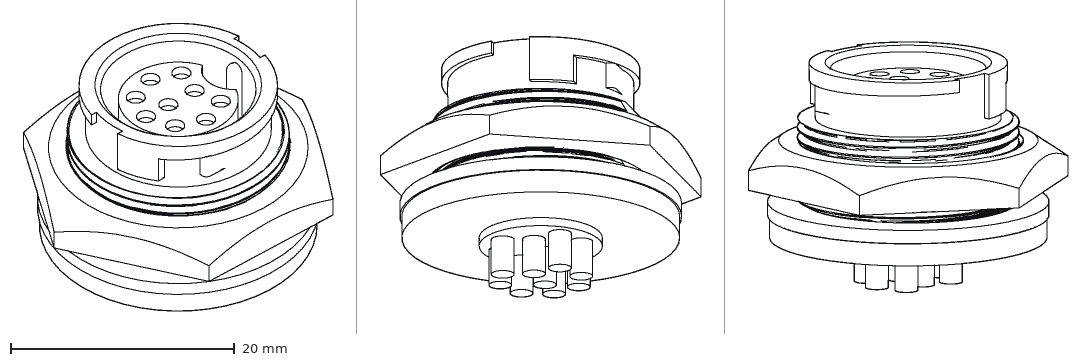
import cadquery as cq
import math

INSERT_BOTTOM = 3.28
FLANGE_BOTTOM = 4.05
FLANGE_STEP = 6.1
FLANGE_TOP = 7.33
NUT_BOTTOM = 9.0
NUT_TOP = 12.9
THREAD_TOP = 14.95
LOCK_BOTTOM = 15.95
BUMP_BOTTOM = 16.22
KEY_TOP = 18.15
INSERT_TOP = 18.4
RIM_TOP = 20.03

FLANGE_RADIUS = 12.6
FLANGE_LOWER_RADIUS = 12.45
COLLAR_RADIUS = 8.33
CUP_RADIUS = 6.95
CUP_CHAMFER = 0.5

PITCH = 0.92
THREAD_RADIUS = 9.95
THREAD_ROOT_RADIUS = 9.35
THREAD_FLAT_X = -8.97
CREST_WIDTH = PITCH / 8
FLANK_SLOPE = math.tan(math.radians(30))
FLANK_STEPS = 12
THREAD_CREST_Z = 14.23

NUT_WIDTH = 25.4
NUT_CORNER_RADIUS = NUT_WIDTH / math.sqrt(3)
NUT_FACE_RADIUS = 11.61
NUT_CHAMFER_DROP = 2.1
NUT_BORE_RADIUS = 9.83
NUT_ROOT_RADIUS = 10.32
NUT_THREAD_SHIFT = 0.15

RIM_RADIUS = 8.9
ENTRY_HALF_WIDTH = 1.8
LOCK_FAR_X = 5.43
RAMP_LOW_Z = 18.45
RAMP_HIGH_Z = 18.9
LOCK_FAR_Y = math.sqrt(RIM_RADIUS**2 - LOCK_FAR_X**2)
ENTRY_Y = math.sqrt(RIM_RADIUS**2 - ENTRY_HALF_WIDTH**2)
RAMP_SLOPE = (RAMP_HIGH_Z - RAMP_LOW_Z) / (LOCK_FAR_Y + ENTRY_Y)

BUMP_FACE_X = 8.18
BUMP_START_Y = 1.38
BUMP_END_Y = 3.8
BUMP_ROUND = 0.6

INSERT_RADIUS = 5.37
INSERT_BASE_RADIUS = 5.5
SCALLOP_RADIUS = 2.82
SCALLOP_Y = 6.48
KEY_RADIUS = 0.75
KEY_Y = 6.7
SOCKET_RADIUS = 0.85
SOCKET_DEPTH = 0.8
PIN_RADIUS = 1.03
CONTACT_CIRCLE_RADIUS = 3.8
CONTACT_STEP_DEGREES = 45
TOP_GAP_DEGREES = 90
INNER_CONTACT_YS = [1.95, -1.17]

ring_angles = [
    math.radians(TOP_GAP_DEGREES + CONTACT_STEP_DEGREES * step)
    for step in range(1, 360 // CONTACT_STEP_DEGREES)
]
contact_points = [
    (CONTACT_CIRCLE_RADIUS * math.cos(angle), CONTACT_CIRCLE_RADIUS * math.sin(angle))
    for angle in ring_angles
]
contact_points += [(0, y) for y in INNER_CONTACT_YS]


def cylinder(radius, bottom, top):
    return cq.Workplane("XY").workplane(offset=bottom).circle(radius).extrude(top - bottom)


def box(x_range, y_range, z_range):
    size = [high - low for low, high in (x_range, y_range, z_range)]
    return cq.Workplane("XY").box(*size, centered=False).translate((x_range[0], y_range[0], z_range[0]))


def both_sides(shape):
    """The shape and its copy turned half way round the axis."""
    return [shape.rotate((0, 0, 0), (0, 0, 1), angle) for angle in (0, 180)]


def threaded_rod(root_radius, crest_radius, bottom, top, crest_z):
    """A right-hand threaded rod: its cross-section twisted once per pitch, a crest at crest_z on +X."""
    crest_angle = math.pi * CREST_WIDTH / PITCH
    flank_angle = 2 * math.pi * (crest_radius - root_radius) * FLANK_SLOPE / PITCH

    def flank_point(share, side):
        radius = crest_radius - share * (crest_radius - root_radius)
        angle = side * (crest_angle + share * flank_angle)
        return (radius * math.cos(angle), radius * math.sin(angle))

    falling = [flank_point(step / FLANK_STEPS, 1) for step in range(FLANK_STEPS + 1)]
    rising = [flank_point(1 - step / FLANK_STEPS, -1) for step in range(FLANK_STEPS + 1)]
    section = (
        cq.Workplane("XY")
        .moveTo(*falling[0])
        .spline(falling[1:], includeCurrent=True)
        .threePointArc((-root_radius, 0), rising[0])
        .spline(rising[1:], includeCurrent=True)
        .threePointArc((crest_radius, 0), falling[0])
        .close()
    )
    rod = section.twistExtrude(top - bottom, 360 * (top - bottom) / PITCH)
    start_angle = 360 * (bottom - crest_z) / PITCH
    return rod.rotate((0, 0, 0), (0, 0, 1), start_angle).translate((0, 0, bottom))


def threaded_barrel():
    barrel = threaded_rod(THREAD_ROOT_RADIUS, THREAD_RADIUS, FLANGE_TOP, THREAD_TOP, THREAD_CREST_Z)
    flat = box(
        (-2 * THREAD_RADIUS, THREAD_FLAT_X),
        (-2 * THREAD_RADIUS, 2 * THREAD_RADIUS),
        (FLANGE_TOP, THREAD_TOP),
    )
    return barrel.cut(flat)


def bayonet_rim():
    rim = cylinder(RIM_RADIUS, LOCK_BOTTOM, RIM_TOP).cut(cylinder(CUP_RADIUS, LOCK_BOTTOM, RIM_TOP))
    reach = 2 * RIM_RADIUS
    under_ramp = (
        cq.Workplane("YZ")
        .polyline([
            (-reach, LOCK_BOTTOM),
            (reach, LOCK_BOTTOM),
            (reach, RAMP_LOW_Z - (reach - LOCK_FAR_Y) * RAMP_SLOPE),
            (-reach, RAMP_LOW_Z + (reach + LOCK_FAR_Y) * RAMP_SLOPE),
        ])
        .close()
        .extrude(-reach)
    )
    under_ramp = under_ramp.cut(box((-LOCK_FAR_X, 0), (0, reach), (LOCK_BOTTOM, RIM_TOP)))
    for cutter in both_sides(under_ramp):
        rim = rim.cut(cutter)
    entry = box((-ENTRY_HALF_WIDTH, ENTRY_HALF_WIDTH), (-reach, reach), (LOCK_BOTTOM, RIM_TOP))
    return rim.cut(entry)


def detent_bump():
    """Flat-faced bump on the -X side, rounded at its +Y end and reaching up to the ramp."""
    return (
        cq.Workplane("XY")
        .workplane(offset=BUMP_BOTTOM)
        .moveTo(-CUP_RADIUS, BUMP_START_Y)
        .lineTo(-BUMP_FACE_X, BUMP_START_Y)
        .lineTo(-BUMP_FACE_X, BUMP_END_Y - BUMP_ROUND)
        .radiusArc((-BUMP_FACE_X + BUMP_ROUND, BUMP_END_Y), BUMP_ROUND)
        .lineTo(-CUP_RADIUS, BUMP_END_Y)
        .close()
        .extrude(RAMP_HIGH_Z - BUMP_BOTTOM)
    )


def cup():
    """The round opening of the shell with its chamfered mouth."""
    opening = cylinder(CUP_RADIUS, FLANGE_TOP, RIM_TOP)
    mouth = cq.Workplane(
        obj=cq.Solid.makeCone(
            CUP_RADIUS,
            CUP_RADIUS + CUP_CHAMFER,
            CUP_CHAMFER,
            cq.Vector(0, 0, RIM_TOP - CUP_CHAMFER),
        )
    )
    return opening.union(mouth)


def polarizing_key():
    """Round-topped post standing against the +Y side of the cup wall."""
    post = cylinder(KEY_RADIUS, FLANGE_TOP, KEY_TOP)
    ball = cq.Workplane("XY").sphere(KEY_RADIUS).translate((0, 0, KEY_TOP))
    return post.union(ball).translate((0, KEY_Y, 0))


def contact_insert():
    insert = cylinder(INSERT_RADIUS, FLANGE_TOP, INSERT_TOP)
    insert = insert.cut(cylinder(SCALLOP_RADIUS, FLANGE_TOP, INSERT_TOP).translate((0, SCALLOP_Y, 0)))
    sockets = (
        cq.Workplane("XY")
        .workplane(offset=INSERT_TOP - SOCKET_DEPTH)
        .pushPoints(contact_points)
        .circle(SOCKET_RADIUS)
        .extrude(SOCKET_DEPTH)
    )
    return insert.cut(sockets)


def solder_pins():
    return cq.Workplane("XY").pushPoints(contact_points).circle(PIN_RADIUS).extrude(INSERT_BOTTOM)


def connector_body():
    body = cylinder(FLANGE_LOWER_RADIUS, FLANGE_BOTTOM, FLANGE_STEP)
    body = body.union(cylinder(FLANGE_RADIUS, FLANGE_STEP, FLANGE_TOP))
    body = body.union(cylinder(INSERT_BASE_RADIUS, INSERT_BOTTOM, FLANGE_BOTTOM))
    body = body.union(threaded_barrel())
    body = body.union(cylinder(COLLAR_RADIUS, THREAD_TOP, RIM_TOP))
    body = body.union(bayonet_rim())
    for bump in both_sides(detent_bump()):
        body = body.union(bump)
    body = body.cut(cup())
    body = body.union(polarizing_key())
    body = body.union(contact_insert())
    return body.union(solder_pins())


def hex_nut():
    nut = (
        cq.Workplane("XY")
        .workplane(offset=NUT_BOTTOM)
        .polygon(6, 2 * NUT_CORNER_RADIUS)
        .extrude(NUT_TOP - NUT_BOTTOM)
        .rotate((0, 0, 0), (0, 0, 1), 30)
    )
    bevelled_envelope = (
        cq.Workplane("XZ")
        .polyline([
            (0, NUT_BOTTOM),
            (NUT_CORNER_RADIUS, NUT_BOTTOM),
            (NUT_CORNER_RADIUS, NUT_TOP - NUT_CHAMFER_DROP),
            (NUT_FACE_RADIUS, NUT_TOP),
            (0, NUT_TOP),
        ])
        .close()
        .revolve(360, (0, 0, 0), (0, 1, 0))
    )
    nut = nut.intersect(bevelled_envelope)
    groove_z = THREAD_CREST_Z + NUT_THREAD_SHIFT
    return nut.cut(threaded_rod(NUT_BORE_RADIUS, NUT_ROOT_RADIUS, NUT_BOTTOM, NUT_TOP, groove_z))


body = connector_body()
nut = hex_nut()
result = cq.Compound.makeCompound([body.val(), nut.val()])